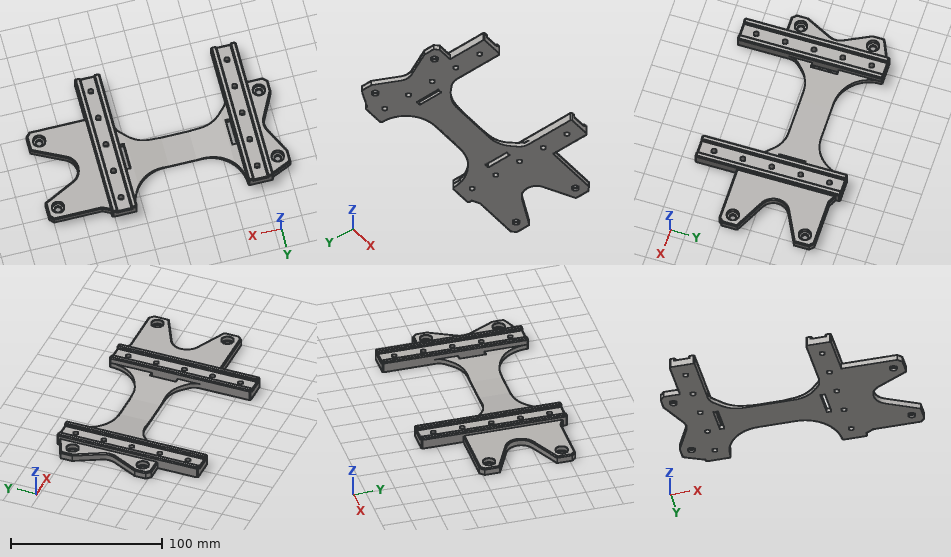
import cadquery as cq
import math

LENGTH = 164.8
RAIL_LENGTH = 100.5
RAIL_HEIGHT = 7.8
END_X = LENGTH / 2

RAIL_WIDTH = 17.0
RAIL_SPACING = 93.0
RAIL_MID_X = -13.55
RAIL_CENTERS_X = (RAIL_MID_X - RAIL_SPACING / 2, RAIL_MID_X + RAIL_SPACING / 2)
RAIL_CHAMFER = 0.8
GROOVE_WIDTH = 9.2
GROOVE_FLOOR_Z = 6.0
RAIL_HOLE_DIAMETER = 3.4
RAIL_HOLE_PITCH = 20.0
RAIL_HOLE_COUNT = 5
RAIL_HOLE_MID_Y = 0.25

PLATE_THICKNESS = 5.0
PLATE_CHAMFER = 0.8
PLATE_MID_Y = 11.5
PLATE_HALF_WIDTH = 33.0
PLATE_TOP_Y = PLATE_MID_Y + PLATE_HALF_WIDTH
PLATE_BOTTOM_Y = PLATE_MID_Y - PLATE_HALF_WIDTH
PLATE_CORNER = 2.8
PLATE_OVERLAP = 2.0
NOTCH_RADIUS = 10.0
NOTCH_SLOPE_ANGLE = math.atan(0.5)
LEFT_NOTCH_TIP_X = -72.4
RIGHT_NOTCH_TIP_X = 55.4
LEFT_SHOULDER_RAIL_Y = 48.4
LEFT_SHOULDER_SLOPE = 0.44
LEFT_SHOULDER_CORNER = 1.8
LEFT_SHOULDER_END_Y = 41.9
RIGHT_FLARE_LENGTH = 5.5
RIGHT_FLARE_SLOPE = 0.5

SCREW_SPACING_X = 150.0
SCREW_SPACING_Y = 50.0
SCREW_MID_X = 0.0
SCREW_HOLE_DIAMETER = 4.7
COUNTERBORE_DIAMETER = 8.0
COUNTERBORE_DEPTH = 3.0
COUNTERBORE_CHAMFER = 0.2

BRIDGE_TOP_Y = 24.0
BRIDGE_BOTTOM_Y = 2.3
BRIDGE_ROOT_THICKNESS = 3.5
BRIDGE_MID_THICKNESS = 1.0
BRIDGE_FLAT_HALF = 9.5
BRIDGE_RAMP_HALF = 32.8
BRIDGE_HALF = (RAIL_SPACING - RAIL_WIDTH) / 2
BRIDGE_TOP_RADIUS = 25.0
BRIDGE_LOWER_RADIUS = 20.0
BRIDGE_LOWER_ARC_X = 17.4
BRIDGE_ROOT_RADIUS = 10.0

SLOT_WIDTH = 3.1
SLOT_LENGTH = 18.0
SLOT_MID_Y = 10.9
SLOT_CHAMFER = 0.3


def make_rail(center_x):
    """Grooved rail with every edge chamfered except the groove corners and the base."""
    body = (
        cq.Workplane("XY")
        .center(center_x, 0)
        .rect(RAIL_WIDTH, RAIL_LENGTH)
        .extrude(RAIL_HEIGHT)
    )
    groove = (
        cq.Workplane("XY", origin=(center_x, 0, GROOVE_FLOOR_Z))
        .rect(GROOVE_WIDTH, RAIL_LENGTH)
        .extrude(RAIL_HEIGHT - GROOVE_FLOOR_Z)
    )
    return body.cut(groove).edges(">Z or ((<Y or >Y) and (not <Z))").chamfer(RAIL_CHAMFER)


def make_left_plate():
    rail_side_x = RAIL_CENTERS_X[0] - RAIL_WIDTH / 2
    inner_x = rail_side_x + PLATE_OVERLAP
    shoulder_run = rail_side_x + END_X - LEFT_SHOULDER_CORNER
    shoulder_y = LEFT_SHOULDER_RAIL_Y - LEFT_SHOULDER_SLOPE * shoulder_run
    inner_y = LEFT_SHOULDER_RAIL_Y + LEFT_SHOULDER_SLOPE * PLATE_OVERLAP
    tangent_x = LEFT_NOTCH_TIP_X - NOTCH_RADIUS * (1 - math.cos(NOTCH_SLOPE_ANGLE))
    tangent_half = NOTCH_RADIUS * math.sin(NOTCH_SLOPE_ANGLE)
    mouth_half = tangent_half + (tangent_x + END_X) / math.tan(NOTCH_SLOPE_ANGLE)
    return (
        cq.Workplane("XY")
        .moveTo(inner_x, PLATE_BOTTOM_Y)
        .lineTo(inner_x, inner_y)
        .lineTo(-END_X + LEFT_SHOULDER_CORNER, shoulder_y)
        .lineTo(-END_X, LEFT_SHOULDER_END_Y)
        .lineTo(-END_X, PLATE_MID_Y + mouth_half)
        .lineTo(tangent_x, PLATE_MID_Y + tangent_half)
        .threePointArc(
            (LEFT_NOTCH_TIP_X, PLATE_MID_Y),
            (tangent_x, PLATE_MID_Y - tangent_half),
        )
        .lineTo(-END_X, PLATE_MID_Y - mouth_half)
        .lineTo(-END_X, PLATE_BOTTOM_Y + PLATE_CORNER)
        .lineTo(-END_X + PLATE_CORNER, PLATE_BOTTOM_Y)
        .close()
        .extrude(PLATE_THICKNESS)
        .faces(">Z")
        .chamfer(PLATE_CHAMFER)
    )


def make_right_plate():
    rail_side_x = RAIL_CENTERS_X[1] + RAIL_WIDTH / 2
    inner_x = rail_side_x - PLATE_OVERLAP
    flare_height = RIGHT_FLARE_SLOPE * (RIGHT_FLARE_LENGTH + PLATE_OVERLAP)
    tangent_x = RIGHT_NOTCH_TIP_X + NOTCH_RADIUS * (1 - math.sin(NOTCH_SLOPE_ANGLE))
    tangent_half = NOTCH_RADIUS * math.cos(NOTCH_SLOPE_ANGLE)
    mouth_half = tangent_half + (END_X - tangent_x) * math.tan(NOTCH_SLOPE_ANGLE)
    return (
        cq.Workplane("XY")
        .moveTo(inner_x, PLATE_BOTTOM_Y)
        .lineTo(END_X - PLATE_CORNER, PLATE_BOTTOM_Y)
        .lineTo(END_X, PLATE_BOTTOM_Y + PLATE_CORNER)
        .lineTo(END_X, PLATE_MID_Y - mouth_half)
        .lineTo(tangent_x, PLATE_MID_Y - tangent_half)
        .threePointArc(
            (RIGHT_NOTCH_TIP_X, PLATE_MID_Y),
            (tangent_x, PLATE_MID_Y + tangent_half),
        )
        .lineTo(END_X, PLATE_MID_Y + mouth_half)
        .lineTo(END_X, PLATE_TOP_Y - PLATE_CORNER)
        .lineTo(END_X - PLATE_CORNER, PLATE_TOP_Y)
        .lineTo(rail_side_x + RIGHT_FLARE_LENGTH, PLATE_TOP_Y)
        .lineTo(inner_x, PLATE_TOP_Y + flare_height)
        .close()
        .extrude(PLATE_THICKNESS)
        .faces(">Z")
        .chamfer(PLATE_CHAMFER)
    )


def make_bridge_half():
    """Half of the bridge on the +X side of its middle plane."""
    diagonal = math.sqrt(0.5)
    root_start_x = BRIDGE_HALF - BRIDGE_ROOT_RADIUS * (1 - diagonal)
    lower_end_x = BRIDGE_LOWER_ARC_X + BRIDGE_LOWER_RADIUS * diagonal
    lower_end_y = BRIDGE_BOTTOM_Y - BRIDGE_LOWER_RADIUS * (1 - diagonal)
    root_start_y = lower_end_y - (root_start_x - lower_end_x)
    root_end_y = root_start_y - BRIDGE_ROOT_RADIUS * diagonal
    top_start_x = BRIDGE_HALF - BRIDGE_TOP_RADIUS
    outline = (
        cq.Workplane("XY")
        .moveTo(0, BRIDGE_BOTTOM_Y)
        .lineTo(BRIDGE_LOWER_ARC_X, BRIDGE_BOTTOM_Y)
        .tangentArcPoint((lower_end_x, lower_end_y), relative=False)
        .lineTo(root_start_x, root_start_y)
        .tangentArcPoint((BRIDGE_HALF, root_end_y), relative=False)
        .lineTo(BRIDGE_HALF, BRIDGE_TOP_Y + BRIDGE_TOP_RADIUS)
        .radiusArc((top_start_x, BRIDGE_TOP_Y), BRIDGE_TOP_RADIUS)
        .lineTo(0, BRIDGE_TOP_Y)
        .close()
        .extrude(BRIDGE_ROOT_THICKNESS)
    )
    side_profile = (
        cq.Workplane("XZ")
        .moveTo(0, 0)
        .lineTo(BRIDGE_HALF, 0)
        .lineTo(BRIDGE_HALF, BRIDGE_ROOT_THICKNESS)
        .lineTo(BRIDGE_RAMP_HALF, BRIDGE_ROOT_THICKNESS)
        .lineTo(BRIDGE_FLAT_HALF, BRIDGE_MID_THICKNESS)
        .lineTo(0, BRIDGE_MID_THICKNESS)
        .close()
        .extrude(RAIL_LENGTH / 2, both=True)
    )
    slot = (
        cq.Workplane("XY")
        .center(BRIDGE_HALF - SLOT_WIDTH / 2, SLOT_MID_Y)
        .rect(SLOT_WIDTH, SLOT_LENGTH)
        .extrude(BRIDGE_ROOT_THICKNESS)
    )
    slot_mouth = (
        cq.Workplane("XY", origin=(BRIDGE_HALF - SLOT_WIDTH / 2, SLOT_MID_Y, BRIDGE_ROOT_THICKNESS))
        .rect(SLOT_WIDTH + 2 * SLOT_CHAMFER, SLOT_LENGTH + 2 * SLOT_CHAMFER)
        .workplane(offset=-SLOT_CHAMFER)
        .rect(SLOT_WIDTH, SLOT_LENGTH)
        .loft()
    )
    return outline.intersect(side_profile).cut(slot).cut(slot_mouth)


def make_bridge():
    half = make_bridge_half()
    return half.union(half.mirror("YZ")).translate((RAIL_MID_X, 0, 0))


def rail_holes():
    points = [
        (x, RAIL_HOLE_MID_Y + (i - (RAIL_HOLE_COUNT - 1) / 2) * RAIL_HOLE_PITCH)
        for x in RAIL_CENTERS_X
        for i in range(RAIL_HOLE_COUNT)
    ]
    return (
        cq.Workplane("XY")
        .pushPoints(points)
        .circle(RAIL_HOLE_DIAMETER / 2)
        .extrude(RAIL_HEIGHT)
    )


def screw_holes():
    """Revolved cutters for the four counterbored screw holes."""
    bore = COUNTERBORE_DIAMETER / 2
    floor_z = PLATE_THICKNESS - COUNTERBORE_DEPTH
    cutter = (
        cq.Workplane("XZ")
        .lineTo(SCREW_HOLE_DIAMETER / 2, 0)
        .lineTo(SCREW_HOLE_DIAMETER / 2, floor_z)
        .lineTo(bore, floor_z)
        .lineTo(bore, PLATE_THICKNESS - COUNTERBORE_CHAMFER)
        .lineTo(bore + COUNTERBORE_CHAMFER, PLATE_THICKNESS)
        .lineTo(0, PLATE_THICKNESS)
        .close()
        .revolve(360, (0, 0, 0), (0, 1, 0))
    )
    return (
        cq.Workplane("XY")
        .center(SCREW_MID_X, PLATE_MID_Y)
        .rect(SCREW_SPACING_X, SCREW_SPACING_Y, forConstruction=True)
        .vertices()
        .eachpoint(lambda place: cutter.val().located(place), combine=False)
    )


result = make_left_plate().union(make_right_plate()).union(make_bridge())
for rail_x in RAIL_CENTERS_X:
    result = result.union(make_rail(rail_x))
result = result.cut(rail_holes())
for screw_hole in screw_holes().vals():
    result = result.cut(screw_hole)